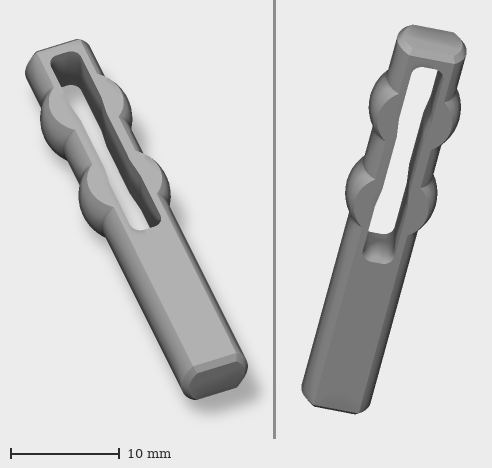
import cadquery as cq

length = 40.6
rod_radius = 3.3
thickness = 5.0
end_chamfer = 0.53

ball_radius = 4.25
first_ball_x = 7.6
ball_spacing = 9.7

slot_start = 1.5
slot_end = 23.5
slot_half_width = 1.5
waist_half_width = 1.25
slot_middle_x = (slot_start + slot_end) / 2
waist_half_length = 2.95
taper_length = 2.0
taper_reach = waist_half_length + taper_length
slot_corner_radius = 1.0


def flat_rod():
    """Rod with top and bottom flats, chamfered all round at both ends."""
    rod = cq.Workplane("YZ").circle(rod_radius).extrude(length)
    return rod.intersect(flat_slab()).faces("<X or >X").chamfer(end_chamfer)


def flat_slab():
    """Slab bounding the part between its two flats."""
    return cq.Workplane("XY").box(length, 4 * ball_radius, thickness, centered=(False, True, True))


def flat_ball(center_x):
    """Ball on the rod axis, cut off by the same flats as the rod."""
    ball = cq.Workplane("XY").sphere(ball_radius).translate((center_x, 0, 0))
    return ball.intersect(flat_slab())


def slot_cutter():
    """Prism of the slot: wide at both ends, tapering to a waist midway along it."""
    upper_side = [
        (slot_start, slot_half_width),
        (slot_middle_x - taper_reach, slot_half_width),
        (slot_middle_x - waist_half_length, waist_half_width),
        (slot_middle_x + waist_half_length, waist_half_width),
        (slot_middle_x + taper_reach, slot_half_width),
        (slot_end, slot_half_width),
    ]
    lower_side = [(x, -y) for x, y in reversed(upper_side)]
    cutter = cq.Workplane("XY").polyline(upper_side + lower_side).close().extrude(thickness, both=True)
    return cutter.faces("<X or >X").edges("|Z").fillet(slot_corner_radius)


result = flat_rod()
for ball_x in (first_ball_x, first_ball_x + ball_spacing):
    result = result.union(flat_ball(ball_x))
result = result.cut(slot_cutter())